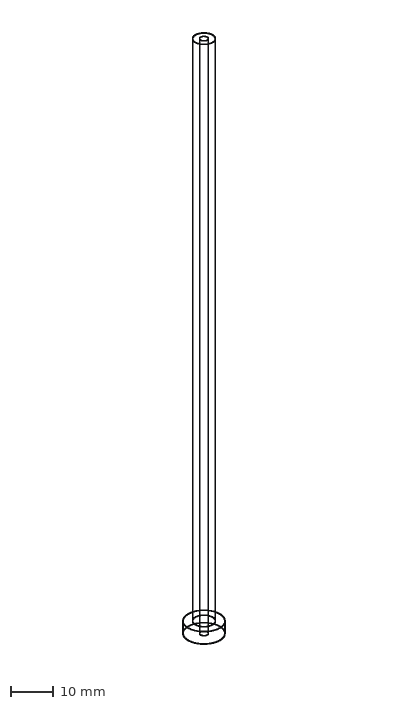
import cadquery as cq

total_length = 163.0
head_diameter = 10.0
head_thickness = 3.5

shank_diameter = 5.4
bore_diameter = 2.1

head = cq.Workplane("XY").circle(head_diameter / 2).extrude(head_thickness)

shank = cq.Workplane("XY").circle(shank_diameter / 2).extrude(total_length)

bore = cq.Workplane("XY").circle(bore_diameter / 2).extrude(total_length)

result = head.union(shank).cut(bore)